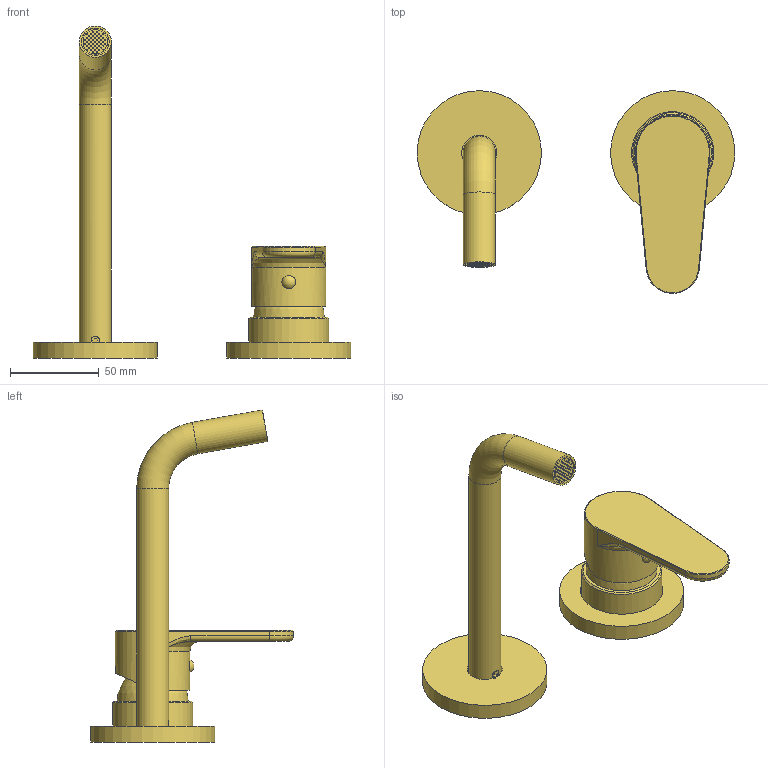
import cadquery as cq
import math

MIXER_X = 109.0
FLANGE_R = 35.0
FLANGE_H = 9.0
GROOVE_DEPTH = 4.0

SPOUT_R = 9.0
SPOUT_GAP = 0.9
SPOUT_TOP = 187.08
BEND_R = 29.0
OUTLET_LENGTH = 40.0
OUTLET_RISE = 10.0
BEND_ANGLE = 90.0 - OUTLET_RISE

AERATOR_GROOVE_OUTER_R = 7.8
AERATOR_GROOVE_INNER_R = 6.9
AERATOR_GROOVE_DEPTH = 1.0
MESH_FIELD_R = 6.7
MESH_PITCH = 1.6
MESH_HOLE_R = 0.3
MESH_DEPTH = 1.5

SCREW_R = 2.3
SCREW_Z = FLANGE_H + 1.0
SCREW_RECESS = 0.6
SCREW_HEX = 2.6
SCREW_HEX_DEPTH = 1.5

COLLAR_R = 22.6
COLLAR_GAP = 0.6
COLLAR_TOP = 23.0
COLLAR_CHAMFER = 0.8
BALL_R = 20.0
BALL_Z = COLLAR_TOP

HANDLE_R = 21.0
HANDLE_BOTTOM = 29.1
HANDLE_TOP = 62.9
UNDERCUT_ANGLE = 25.0
LEVER_BOTTOM = 56.7
LEVER_TIP_R = 15.0
LEVER_REACH = 79.39
LEVER_BOTTOM_FILLET = 3.1
LEVER_TOP_CHAMFER = 0.4
NECK_FILLET = 5.6
BUTTON_Z = 42.8
BUTTON_R = 3.7
BUTTON_HEIGHT = 2.3


def flange():
    """Round cover plate standing on the ground at the origin."""
    return cq.Workplane("XY").circle(FLANGE_R).extrude(FLANGE_H)


def ring_groove(inner_r, width):
    """Cutter for the gap in the flange's top face around a post."""
    plane = cq.Workplane("XY").workplane(offset=FLANGE_H - GROOVE_DEPTH)
    return plane.circle(inner_r + width).circle(inner_r).extrude(GROOVE_DEPTH)


def cut_aerator(spout, outlet):
    """Annular groove and diagonal mesh of small round holes; `outlet` is the end face's plane."""
    groove = cq.Workplane(outlet).circle(AERATOR_GROOVE_OUTER_R).circle(AERATOR_GROOVE_INNER_R)
    spout = spout.cut(groove.extrude(-AERATOR_GROOVE_DEPTH))
    mesh_plane = outlet.rotated((0, 0, 45))
    reach = math.floor(MESH_FIELD_R / MESH_PITCH)
    steps = range(-reach, reach + 1)
    centres = [(i * MESH_PITCH, j * MESH_PITCH) for i in steps for j in steps]
    hole_limit = MESH_FIELD_R - MESH_HOLE_R
    centres = [c for c in centres if math.hypot(*c) <= hole_limit]
    holes = cq.Workplane(mesh_plane).pushPoints(centres).circle(MESH_HOLE_R)
    return spout.cut(holes.extrude(-MESH_DEPTH))


def cut_set_screw(spout):
    """Round recess with a hexagon socket, low on the spout's -Y side."""
    recess_y = -(SPOUT_R - SCREW_RECESS)
    front = cq.Plane(origin=(0, recess_y, SCREW_Z), xDir=(1, 0, 0), normal=(0, -1, 0))
    recess = cq.Workplane(front).circle(SCREW_R).extrude(SCREW_RECESS + SPOUT_GAP)
    socket = cq.Workplane(front).polygon(6, SCREW_HEX).extrude(-SCREW_HEX_DEPTH)
    return spout.cut(recess).cut(socket)


def make_spout():
    """Bent round spout with its flange."""
    bend = math.radians(BEND_ANGLE)
    rise = math.radians(OUTLET_RISE)
    bend_y = -BEND_R * (1 - math.cos(bend))
    bend_rise = BEND_R * math.sin(bend)
    outlet_y = bend_y - OUTLET_LENGTH * math.cos(rise)
    outlet_z = SPOUT_TOP - SPOUT_R * math.cos(rise)
    bend_end_z = outlet_z - OUTLET_LENGTH * math.sin(rise)
    bend_start_z = bend_end_z - bend_rise
    mid_y = -BEND_R * (1 - math.cos(bend / 2))
    mid_z = bend_start_z + BEND_R * math.sin(bend / 2)

    path = (
        cq.Workplane("YZ")
        .lineTo(0, bend_start_z)
        .threePointArc((mid_y, mid_z), (bend_y, bend_end_z))
        .lineTo(outlet_y, outlet_z)
    )
    tube = cq.Workplane("XY").circle(SPOUT_R).sweep(path)
    spout = flange().union(tube).cut(ring_groove(SPOUT_R, SPOUT_GAP))
    outlet = cq.Plane(
        origin=(0, outlet_y, outlet_z),
        xDir=(1, 0, 0),
        normal=(0, -math.cos(rise), math.sin(rise)),
    )
    return cut_set_screw(cut_aerator(spout, outlet))


def ball():
    """Ball that the handle sits on; also the cutter for the handle's seat."""
    return cq.Workplane("XY").sphere(BALL_R).translate((0, 0, BALL_Z))


def make_mixer_base():
    """Flange, collar and ball."""
    collar = cq.Workplane("XY").circle(COLLAR_R).extrude(COLLAR_TOP)
    collar = collar.faces(">Z").chamfer(COLLAR_CHAMFER)
    post = flange().union(collar).cut(ring_groove(COLLAR_R, COLLAR_GAP))
    above_collar = cq.Workplane("XY").workplane(offset=BALL_Z).circle(BALL_R).extrude(BALL_R)
    upper_ball = ball().intersect(above_collar)
    return post.union(upper_ball)


def lever_prism(bottom, top):
    """Outline of the handle from above: body circle, tangent sides and round tip."""
    tip_y = -(LEVER_REACH - LEVER_TIP_R)
    lean = math.asin((HANDLE_R - LEVER_TIP_R) / -tip_y)
    side_x, side_y = math.cos(lean), -math.sin(lean)
    body_side = (HANDLE_R * side_x, HANDLE_R * side_y)
    tip_side = (LEVER_TIP_R * side_x, tip_y + LEVER_TIP_R * side_y)
    return (
        cq.Workplane("XY")
        .workplane(offset=bottom)
        .moveTo(*body_side)
        .lineTo(*tip_side)
        .threePointArc((0, -LEVER_REACH), (-tip_side[0], tip_side[1]))
        .lineTo(-body_side[0], body_side[1])
        .threePointArc((0, HANDLE_R), body_side)
        .close()
        .extrude(top - bottom)
    )


def lever():
    """Flat lever whose underside curves down into the handle's body, with a rounded lower edge."""
    flare_r = HANDLE_R + NECK_FILLET
    neck_bottom = LEVER_BOTTOM - NECK_FILLET
    bulge = NECK_FILLET * (1 - math.sqrt(0.5))
    clear_r = 2 * LEVER_REACH
    below_lever = (
        cq.Workplane("XZ")
        .moveTo(HANDLE_R, neck_bottom)
        .threePointArc((HANDLE_R + bulge, LEVER_BOTTOM - bulge), (flare_r, LEVER_BOTTOM))
        .lineTo(clear_r, LEVER_BOTTOM)
        .lineTo(clear_r, neck_bottom)
        .close()
        .revolve(360, (0, 0), (0, 1))
    )
    blank = lever_prism(neck_bottom, HANDLE_TOP).cut(below_lever)
    tip_edge = cq.NearestToPointSelector((0, -LEVER_REACH, LEVER_BOTTOM))
    blank = blank.edges(tip_edge).fillet(LEVER_BOTTOM_FILLET)
    return blank.faces(">Z").edges().chamfer(LEVER_TOP_CHAMFER)


def undercut():
    """Wedge cut from the back of the handle's lower edge so that it can tilt."""
    reach = 2 * HANDLE_R
    rise = reach * math.tan(math.radians(UNDERCUT_ANGLE))
    return (
        cq.Workplane("YZ")
        .moveTo(0, HANDLE_BOTTOM)
        .lineTo(reach, HANDLE_BOTTOM + rise)
        .lineTo(reach, HANDLE_BOTTOM)
        .close()
        .extrude(reach, both=True)
    )


def button():
    """Spherical cap on the handle's -Y side."""
    sphere_r = (BUTTON_R**2 + BUTTON_HEIGHT**2) / (2 * BUTTON_HEIGHT)
    centre_y = -(HANDLE_R + BUTTON_HEIGHT - sphere_r)
    return cq.Workplane("XY").sphere(sphere_r).translate((0, centre_y, BUTTON_Z))


def make_handle():
    """Cylindrical body with a flat lever, seated on the ball."""
    body_height = HANDLE_TOP - LEVER_TOP_CHAMFER - HANDLE_BOTTOM
    body = cq.Workplane("XY").workplane(offset=HANDLE_BOTTOM).circle(HANDLE_R).extrude(body_height)
    handle = body.union(lever()).union(button())
    return handle.cut(undercut()).cut(ball())


spout = make_spout()
mixer_base = make_mixer_base().translate((MIXER_X, 0, 0))
handle = make_handle().translate((MIXER_X, 0, 0))

result = cq.Compound.makeCompound([spout.solids().val(), mixer_base.solids().val(), handle.solids().val()])